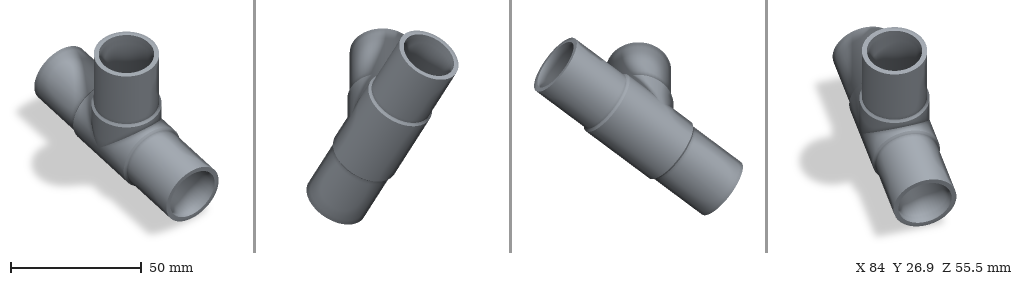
import cadquery as cq

run_length = 84.0
spigot_diameter = 25.0
body_diameter = 26.9
bore_diameter = 21.2
spigot_length = 25.0

reach = run_length / 2
collar_reach = reach - spigot_length
chamfer = (body_diameter - spigot_diameter) / 2


def arm(direction):
    """Solid arm from the crossing of the axes: chamfered collar, then spigot."""
    plane = cq.Plane(origin=(0, 0, 0), xDir=(0, 1, 0), normal=direction)
    collar = (
        cq.Workplane(plane)
        .circle(body_diameter / 2)
        .extrude(collar_reach)
        .faces(cq.DirectionMinMaxSelector(cq.Vector(*direction), True))
        .chamfer(chamfer)
    )
    spigot = cq.Workplane(plane).circle(spigot_diameter / 2).extrude(reach)
    return collar.union(spigot)


tee = arm((1, 0, 0)).union(arm((-1, 0, 0))).union(arm((0, 0, 1)))

run_bore = cq.Workplane("YZ").circle(bore_diameter / 2).extrude(reach, both=True)
branch_bore = cq.Workplane("XY").circle(bore_diameter / 2).extrude(reach)

result = tee.cut(run_bore).cut(branch_bore).clean()